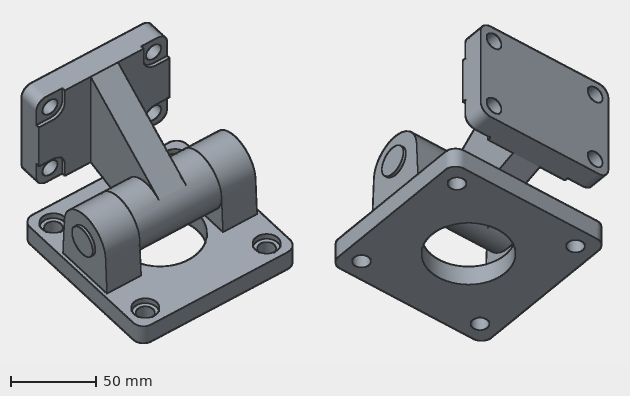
import cadquery as cq
import math

base_side = 115.0
base_thickness = 14.0
corner_radius = 7.5
window_diameter = 55.0
screw_diameter = 11.0
counterbore_diameter = 16.5
counterbore_depth = 4.0
base_hole_inset = 13.0

pivot_height = 41.0
pin_diameter = 20.0
pin_length = 114.0
barrel_diameter = 40.0
barrel_radius = barrel_diameter / 2
lug_gap = 60.0
lug_thickness = 25.0
lug_foot_width = 42.7

overall_length = 128.5
overall_height = 106.0
arm_plate_thickness = 17.0
arm_plate_width = 96.0
arm_plate_height = 70.0
arm_hole_inset = 10.0
seat_size = 19.0
seat_depth = 2.5
web_thickness = 20.0

plate_front_x = base_side / 2 - overall_length
plate_back_x = plate_front_x + arm_plate_thickness
plate_bottom_z = overall_height - arm_plate_height
plate_middle_z = overall_height - arm_plate_height / 2


def tangent_point(x, z, side):
    """Point where a line from (x, z) touches the barrel-sized circle about the pivot.

    side is +1 or -1: the touching point lies counterclockwise or clockwise of (x, z).
    """
    rise = z - pivot_height
    angle = math.atan2(rise, x) + side * math.acos(barrel_radius / math.hypot(x, rise))
    return barrel_radius * math.cos(angle), pivot_height + barrel_radius * math.sin(angle)


def extrude_along_y(profile, start_y, length):
    """Extrude an XZ profile from start_y toward +Y."""
    return profile.extrude(-length).translate((0, start_y, 0))


def pivot_cylinder(diameter, length):
    """Cylinder on the pivot axis, centred on Y = 0."""
    profile = cq.Workplane("XZ").center(0, pivot_height).circle(diameter / 2)
    return extrude_along_y(profile, -length / 2, length)


def make_lug(start_y):
    """Round-topped lug whose flanks are tangent to its top arc."""
    half_foot = lug_foot_width / 2
    right_top = tangent_point(half_foot, base_thickness, 1)
    profile = (
        cq.Workplane("XZ")
        .moveTo(-half_foot, base_thickness)
        .lineTo(half_foot, base_thickness)
        .lineTo(*right_top)
        .threePointArc((0, pivot_height + barrel_radius), (-right_top[0], right_top[1]))
        .close()
    )
    return extrude_along_y(profile, start_y, lug_thickness)


def make_base():
    """Base plate with a window, four counterbored screw holes and two bored lugs."""
    hole_spacing = base_side - 2 * base_hole_inset
    base = (
        cq.Workplane("XY")
        .rect(base_side, base_side)
        .extrude(base_thickness)
        .edges("|Z")
        .fillet(corner_radius)
        .faces(">Z")
        .workplane()
        .hole(window_diameter)
    )
    base = (
        base.faces(">Z")
        .workplane(origin=(0, 0, base_thickness))
        .rect(hole_spacing, hole_spacing, forConstruction=True)
        .vertices()
        .cboreHole(screw_diameter, counterbore_diameter, counterbore_depth)
    )
    for start_y in (lug_gap / 2, -lug_gap / 2 - lug_thickness):
        base = base.union(make_lug(start_y))
    return base.cut(pivot_cylinder(pin_diameter, pin_length))


def make_screw_seat(side_y, side_z):
    """Recess at one back corner of the arm plate, rounded about the screw hole."""
    centre_y = side_y * (arm_plate_width - seat_size) / 2
    centre_z = plate_middle_z + side_z * (arm_plate_height - seat_size) / 2
    inner_y = "<Y" if side_y > 0 else ">Y"
    inner_z = "<Z" if side_z > 0 else ">Z"
    return (
        cq.Workplane("XY")
        .box(seat_depth, seat_size, seat_size)
        .faces(inner_y)
        .edges(inner_z)
        .fillet(seat_size - arm_hole_inset)
        .translate((plate_back_x - seat_depth / 2, centre_y, centre_z))
    )


def make_arm_plate():
    """Upright plate with rounded corners, four screw holes and four screw seats."""
    plate = (
        cq.Workplane("YZ", origin=(plate_front_x, 0, plate_middle_z))
        .rect(arm_plate_width, arm_plate_height)
        .extrude(arm_plate_thickness)
        .edges("|X")
        .fillet(corner_radius)
    )
    holes = (
        cq.Workplane("YZ", origin=(plate_front_x, 0, plate_middle_z))
        .rect(
            arm_plate_width - 2 * arm_hole_inset,
            arm_plate_height - 2 * arm_hole_inset,
            forConstruction=True,
        )
        .vertices()
        .circle(screw_diameter / 2)
        .extrude(arm_plate_thickness)
    )
    plate = plate.cut(holes)
    for side_y in (-1, 1):
        for side_z in (-1, 1):
            plate = plate.cut(make_screw_seat(side_y, side_z))
    return plate


def make_web():
    """Web running from the plate's back edges tangentially onto the barrel."""
    profile = (
        cq.Workplane("XZ")
        .moveTo(plate_back_x, overall_height)
        .lineTo(*tangent_point(plate_back_x, overall_height, -1))
        .lineTo(0, pivot_height)
        .lineTo(*tangent_point(plate_back_x, plate_bottom_z, 1))
        .lineTo(plate_back_x, plate_bottom_z)
        .close()
    )
    return extrude_along_y(profile, -web_thickness / 2, web_thickness)


def make_arm():
    """Swinging arm: plate, web and barrel, with pin ends that turn in the lugs."""
    return (
        make_arm_plate()
        .union(make_web())
        .union(pivot_cylinder(barrel_diameter, lug_gap))
        .union(pivot_cylinder(pin_diameter, pin_length))
    )


base = make_base()
arm = make_arm()
result = cq.Compound.makeCompound([base.solids().val(), arm.solids().val()])